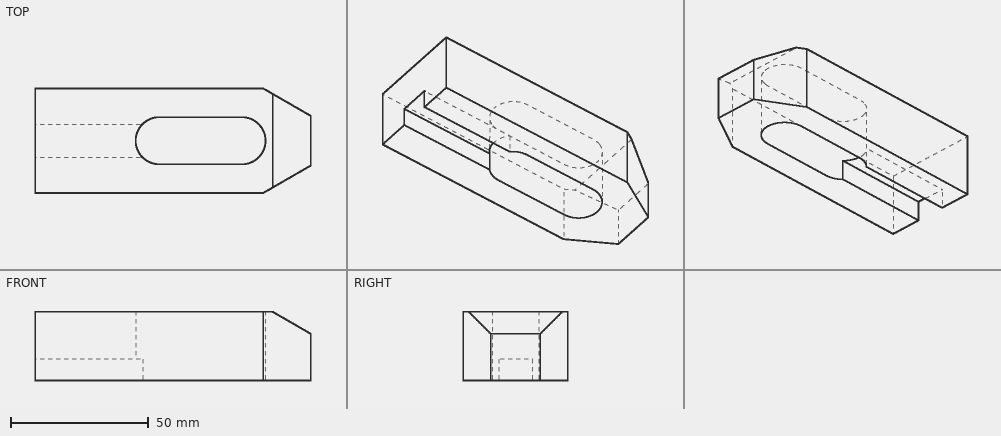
import cadquery as cq
import math

length = 100.0
width = 38.0
height = 25.0

taper_angle = math.radians(30)
nose_width = 18.0
nose_drop = 8.0
side_taper_length = (width - nose_width) / 2 / math.tan(taper_angle)
top_taper_length = nose_drop / math.tan(taper_angle)

slot_width = 17.0
slot_length = 47.0
slot_center_x = 60.0

groove_width = 12.0
groove_depth = 8.0
groove_length = slot_center_x - slot_length / 2 + slot_width / 2


def make_body():
    """Block with its two long sides tapering towards the nose."""
    taper_start = length - side_taper_length
    return (
        cq.Workplane("XY")
        .moveTo(0, -width / 2)
        .lineTo(taper_start, -width / 2)
        .lineTo(length, -nose_width / 2)
        .lineTo(length, nose_width / 2)
        .lineTo(taper_start, width / 2)
        .lineTo(0, width / 2)
        .close()
        .extrude(height)
    )


def make_top_taper():
    """Wedge removed from the top of the nose."""
    return (
        cq.Workplane("XZ")
        .moveTo(length - top_taper_length, height)
        .lineTo(length, height)
        .lineTo(length, height - nose_drop)
        .close()
        .extrude(width / 2, both=True)
    )


def make_slot():
    """Round-ended slot through the full height."""
    return cq.Workplane("XY").center(slot_center_x, 0).slot2D(slot_length, slot_width).extrude(height)


def make_groove():
    """Rectangular groove in the bottom face, open at the heel."""
    return cq.Workplane("XY").box(groove_length, groove_width, groove_depth, centered=(False, True, False))


result = make_body().cut(make_top_taper()).cut(make_slot()).cut(make_groove())